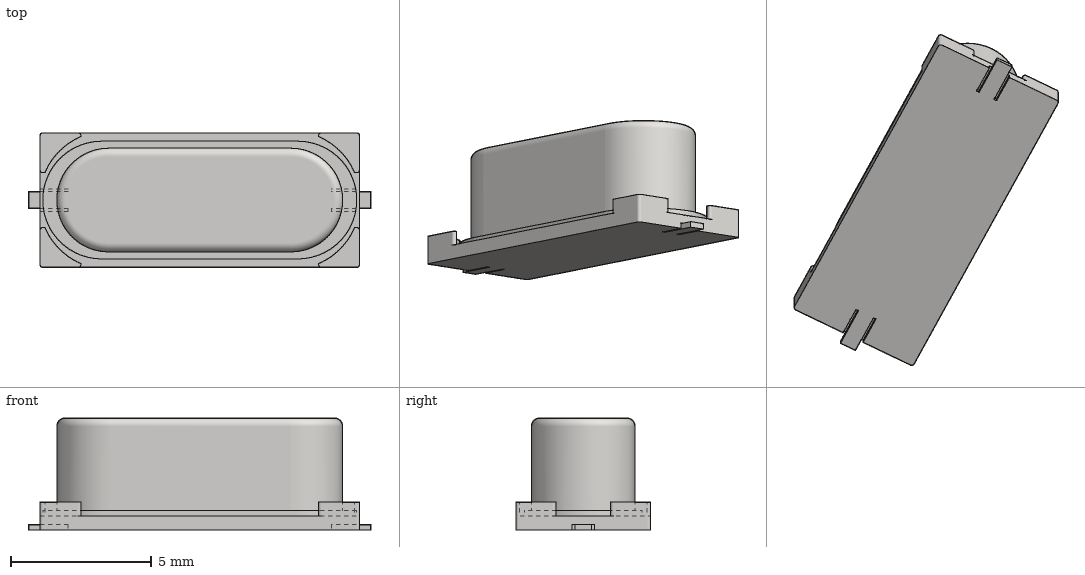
import cadquery as cq

BASE_LENGTH = 11.4
BASE_WIDTH = 4.8
LEDGE_HEIGHT = 0.5
POST_HEIGHT = 1.0
EDGE_RADIUS = 0.1

END_GAP_WIDTH = 1.96
SIDE_GAP_LENGTH = 8.48
RECESS_RADIUS = 2.475
RECESS_CENTER_SPACING = 6.5

FLANGE_LENGTH = 11.2
FLANGE_WIDTH = 4.2
FLANGE_TOP = 0.7

CAN_LENGTH = 10.2
CAN_WIDTH = 3.7
CAN_TOP = 4.0
CAN_TOP_RADIUS = 0.3

LEAD_SPAN = 12.2
LEAD_WIDTH = 0.6
LEAD_THICKNESS = 0.2
LEAD_SLOT_WIDTH = 0.8
LEAD_SLOT_DEPTH = 1.0


def box(length, width, bottom, top):
    """Box centred on the Z axis between two heights."""
    return cq.Workplane("XY").workplane(offset=bottom).rect(length, width).extrude(top - bottom)


def stadium(length, width, bottom, top):
    """Round-ended block along X, centred on the Z axis, between two heights."""
    return cq.Workplane("XY").workplane(offset=bottom).slot2D(length, width).extrude(top - bottom)


def make_posts():
    """Four corner posts standing on the ledge."""
    recess_width = 2 * RECESS_RADIUS
    recess_length = RECESS_CENTER_SPACING + recess_width
    posts = (
        box(BASE_LENGTH, BASE_WIDTH, LEDGE_HEIGHT, POST_HEIGHT)
        .cut(box(BASE_LENGTH, END_GAP_WIDTH, LEDGE_HEIGHT, POST_HEIGHT))
        .cut(box(SIDE_GAP_LENGTH, BASE_WIDTH, LEDGE_HEIGHT, POST_HEIGHT))
        .cut(stadium(recess_length, recess_width, LEDGE_HEIGHT, POST_HEIGHT))
    )
    outer_edges = posts.edges("|Z").edges("<X or >X or <Y or >Y")
    return posts.newObject(outer_edges.vals()).fillet(EDGE_RADIUS)


def make_base():
    plate = box(BASE_LENGTH, BASE_WIDTH, 0, LEDGE_HEIGHT).edges("|Z").fillet(EDGE_RADIUS)
    return plate.union(make_posts())


def make_can():
    can = stadium(CAN_LENGTH, CAN_WIDTH, LEDGE_HEIGHT, CAN_TOP).faces(">Z").edges().fillet(CAN_TOP_RADIUS)
    flange = stadium(FLANGE_LENGTH, FLANGE_WIDTH, LEDGE_HEIGHT, FLANGE_TOP)
    return can.union(flange)


def end_bars(outer_span, width):
    """Bars of lead thickness at both ends, reaching inwards to the end of the lead slots."""
    inner_span = BASE_LENGTH - 2 * LEAD_SLOT_DEPTH
    bars = box(outer_span, width, 0, LEAD_THICKNESS)
    return bars.cut(box(inner_span, width, 0, LEAD_THICKNESS))


lead_slots = end_bars(BASE_LENGTH, LEAD_SLOT_WIDTH)
leads = end_bars(LEAD_SPAN, LEAD_WIDTH)

result = make_base().union(make_can()).cut(lead_slots).union(leads)